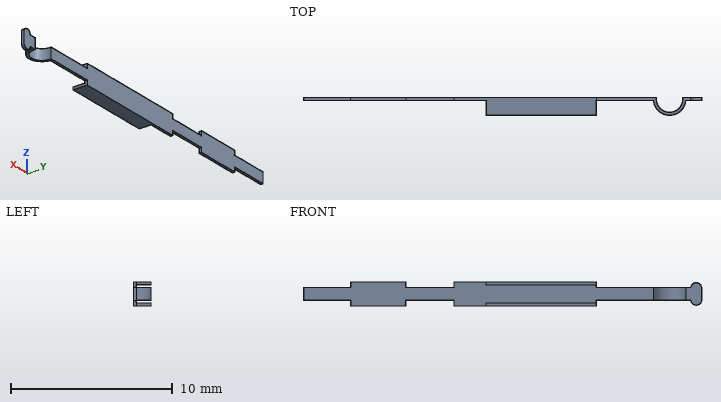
import cadquery as cq

length = 24.6
thickness = 0.2
strip_height = 0.8
wide_height = 1.5
depth = 1.1

pad_start, pad_end = 2.9, 6.32
channel_plate_start = 9.27
flange_start, flange_end = 11.27, 18.08

bend_x = 22.6
bend_y = -thickness / 2
bend_outer_radius = depth + bend_y
bend_inner_radius = bend_outer_radius - thickness

head_width = 0.7
head_height = 1.4
head_x = length - head_width / 2


def block(x_start, x_end, height, y_depth=thickness, z_center=0):
    """Box reaching from the back face toward -Y."""
    return cq.Workplane("XY").box(
        x_end - x_start, y_depth, height
    ).translate(((x_start + x_end) / 2, -y_depth / 2, z_center))


def bend_cylinder(radius, height):
    return cq.Workplane("XY").center(bend_x, bend_y).circle(radius).extrude(height / 2, both=True)


def contact_bend():
    """Half ring bulging toward -Y."""
    ring = bend_cylinder(bend_outer_radius, strip_height).cut(bend_cylinder(bend_inner_radius, strip_height))
    front_half = (
        cq.Workplane("XY")
        .box(2 * bend_outer_radius, bend_outer_radius, strip_height)
        .translate((bend_x, bend_y - bend_outer_radius / 2, 0))
    )
    return ring.intersect(front_half)


pad = block(pad_start, pad_end, wide_height)
channel_plate = block(channel_plate_start, flange_end, wide_height)

head_arc_z = (head_height - head_width) / 2
head = (
    cq.Workplane("XZ")
    .moveTo(length, -head_arc_z)
    .lineTo(length, head_arc_z)
    .threePointArc((head_x, head_height / 2), (length - head_width, head_arc_z))
    .lineTo(length - head_width, -head_arc_z)
    .threePointArc((head_x, -head_height / 2), (length, -head_arc_z))
    .close()
    .extrude(thickness)
)

strip = block(0, head_x, strip_height).union(pad).union(channel_plate).union(head)
bend_opening = block(bend_x - bend_inner_radius, bend_x + bend_inner_radius, strip_height)
result = strip.cut(bend_opening).union(contact_bend())

flange_z = (wide_height - thickness) / 2
for side in (-1, 1):
    result = result.union(block(flange_start, flange_end, thickness, depth, side * flange_z))

result = result.clean()